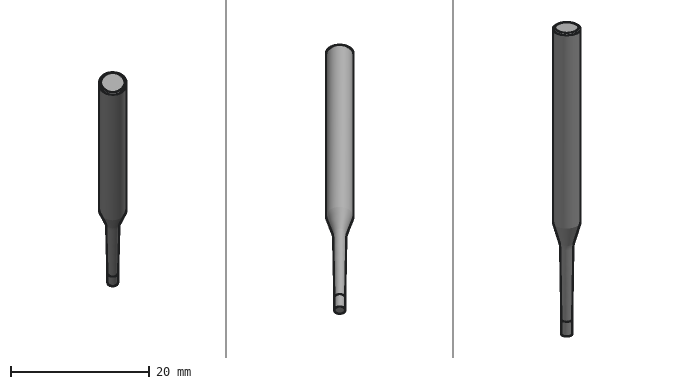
import cadquery as cq

total_length = 50.0
tip_length = 2.4
neck_top = 14.15
cone_bottom = 14.85
shank_bottom = 18.2

shank_diameter = 4.0
cone_bottom_diameter = 2.1
neck_top_diameter = 1.95
neck_bottom_diameter = 1.6
tip_diameter = 1.6

bevel_width = 0.3
bevel_height = 0.25


def make_shank():
    """Bevelled shank, cone and slightly tapered neck, revolved about Z."""
    shank_radius = shank_diameter / 2
    profile = (
        cq.Workplane("XZ")
        .moveTo(0, tip_length)
        .lineTo(neck_bottom_diameter / 2, tip_length)
        .lineTo(neck_top_diameter / 2, neck_top)
        .tangentArcPoint((cone_bottom_diameter / 2, cone_bottom), relative=False)
        .lineTo(shank_radius, shank_bottom)
        .lineTo(shank_radius, total_length - bevel_height)
        .lineTo(shank_radius - bevel_width, total_length)
        .lineTo(0, total_length)
        .close()
    )
    return profile.revolve(360, (0, 0), (0, 1))


def make_tip():
    """Plain cylindrical cutting tip on the end of the neck."""
    return cq.Workplane("XY").circle(tip_diameter / 2).extrude(tip_length)


shank = make_shank()
tip = make_tip()

result = cq.Compound.makeCompound([shank.val(), tip.val()])